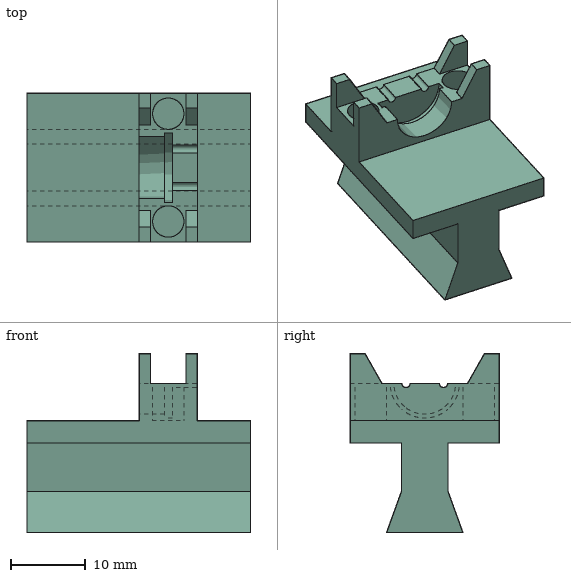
import cadquery as cq

length = 30.0
width = 20.0
height = 24.0
plate_bottom = 12.0
plate_top = 15.0
neck_width = 6.3
foot_width = 10.25
flare_height = 5.5

saddle_start = 0.05
saddle_length = 7.8
saddle_top = 20.0
prong_thickness = 1.53
prong_tip_depth = 2.0
notch_floor_width = 11.45

seat_radius = 4.15
seat_length = 3.4
flange_radius = 4.65
flange_thickness = 1.08
lead_radius = 0.55
lead_spacing = 5.05

hole_diameter = 4.2
hole_spacing = 14.45
hole_depth = saddle_top - plate_top

saddle_end = saddle_start + saddle_length
saddle_middle = saddle_start + saddle_length / 2
flange_start = saddle_start + seat_length
flange_end = flange_start + flange_thickness


def extrude_along_x(points, start, distance):
    """Extrude a closed (y, z) outline along +X."""
    return cq.Workplane("YZ", origin=(start, 0, 0)).polyline(points).close().extrude(distance)


def groove(start, end, radius, y=0):
    """Cylinder along X centred on the saddle top, to cut a half-round groove."""
    return cq.Workplane("YZ", origin=(start, y, saddle_top)).circle(radius).extrude(end - start)


def make_rail():
    right_half = [
        (foot_width / 2, 0),
        (neck_width / 2, flare_height),
        (neck_width / 2, plate_bottom),
        (width / 2, plate_bottom),
        (width / 2, plate_top),
    ]
    left_half = [(-y, z) for y, z in reversed(right_half)]
    return extrude_along_x(right_half + left_half, -length / 2, length)


def make_saddle():
    right_half = [
        (width / 2, plate_top),
        (width / 2, height),
        (width / 2 - prong_tip_depth, height),
        (notch_floor_width / 2, saddle_top),
    ]
    left_half = [(-y, z) for y, z in reversed(right_half)]
    saddle = extrude_along_x(right_half + left_half, saddle_start, saddle_length)

    channel = cq.Workplane("XY", origin=(saddle_middle, 0, saddle_top)).rect(
        saddle_length - 2 * prong_thickness, width
    ).extrude(height - saddle_top)
    return saddle.cut(channel)


def make_holes():
    return (
        cq.Workplane("XY", origin=(saddle_middle, 0, saddle_top))
        .pushPoints([(0, -hole_spacing / 2), (0, hole_spacing / 2)])
        .circle(hole_diameter / 2)
        .extrude(-hole_depth)
    )


result = make_rail().union(make_saddle())
result = result.cut(groove(saddle_start, flange_start, seat_radius))
result = result.cut(groove(flange_start, flange_end, flange_radius))
for side in (-1, 1):
    result = result.cut(groove(flange_end, saddle_end, lead_radius, side * lead_spacing / 2))
result = result.cut(make_holes())